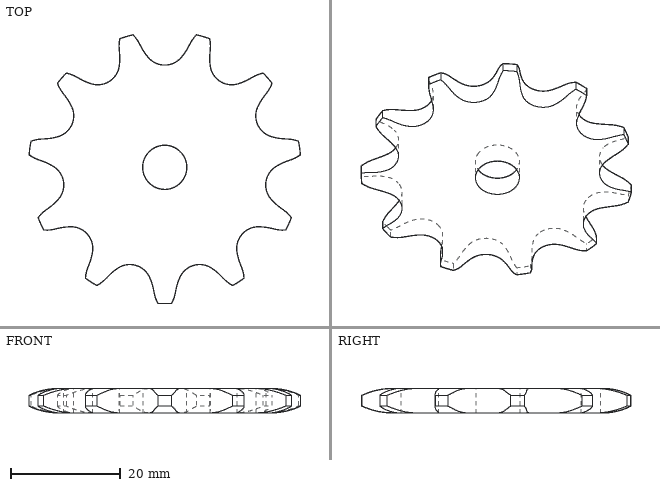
import cadquery as cq
import math

TOOTH_COUNT = 11
CHAIN_PITCH = 12.7
ROLLER_DIAMETER = 7.75
TIP_DIAMETER = 49.6
THICKNESS = 4.5
BORE_DIAMETER = 8.0
SIDE_RELIEF_RADIUS = 13.0
SIDE_RELIEF_DEPTH = 0.1 * CHAIN_PITCH
SEATING_CLEARANCE = 0.0762
CUT_MARGIN = 2.0

HALF_TOOTH_ANGLE = 180 / TOOTH_COUNT
PITCH_RADIUS = CHAIN_PITCH / (2 * math.sin(math.radians(HALF_TOOTH_ANGLE)))
TIP_RADIUS = TIP_DIAMETER / 2
SEATING_RADIUS = (1.005 * ROLLER_DIAMETER + SEATING_CLEARANCE) / 2
SEATING_ANGLE = 35 + 60 / TOOTH_COUNT
WORKING_ANGLE = 18 - 56 / TOOTH_COUNT
FLANK_ANGLE = SEATING_ANGLE - WORKING_ANGLE
WORKING_CENTER_OFFSET = 0.8 * ROLLER_DIAMETER
WORKING_RADIUS = SEATING_RADIUS + WORKING_CENTER_OFFSET
TOPPING_CENTER_OFFSET = 1.4 * ROLLER_DIAMETER
TOPPING_RADIUS = (
    WORKING_CENTER_OFFSET * math.cos(math.radians(WORKING_ANGLE))
    + TOPPING_CENTER_OFFSET * math.cos(math.radians(FLANK_ANGLE - HALF_TOOTH_ANGLE))
    - WORKING_RADIUS
)


def polar(center, radius, angle):
    """Point at the given radius and angle (degrees) from a centre."""
    turn = math.radians(angle)
    return (center[0] + radius * math.cos(turn), center[1] + radius * math.sin(turn))


def mirrored(point):
    """Reflect a point across the centre line of the gap (the Y axis)."""
    return (-point[0], point[1])


def make_gap_cutter():
    """Prism filling one tooth gap centred on +Y."""
    cut_radius = TIP_RADIUS + CUT_MARGIN
    seat_center = (0, PITCH_RADIUS)
    working_center = polar(seat_center, WORKING_CENTER_OFFSET, SEATING_ANGLE)
    topping_center = polar(seat_center, TOPPING_CENTER_OFFSET, 180 + HALF_TOOTH_ANGLE)

    seat_bottom = (0, PITCH_RADIUS - SEATING_RADIUS)
    seat_end = polar(seat_center, SEATING_RADIUS, 180 + SEATING_ANGLE)
    working_mid = polar(working_center, WORKING_RADIUS, 180 + SEATING_ANGLE - WORKING_ANGLE / 2)
    working_end = polar(working_center, WORKING_RADIUS, 180 + FLANK_ANGLE)
    topping_start = polar(topping_center, TOPPING_RADIUS, FLANK_ANGLE)

    center_distance = math.hypot(*topping_center)
    center_angle = math.degrees(math.atan2(topping_center[1], topping_center[0]))
    crossing_cosine = (center_distance**2 + TIP_RADIUS**2 - TOPPING_RADIUS**2) / (
        2 * center_distance * TIP_RADIUS
    )
    tip_angle = center_angle - math.degrees(math.acos(crossing_cosine))
    tip = polar((0, 0), TIP_RADIUS, tip_angle)
    tip_offset_x = tip[0] - topping_center[0]
    tip_offset_y = tip[1] - topping_center[1]
    topping_end_angle = math.degrees(math.atan2(tip_offset_y, tip_offset_x))
    topping_mid = polar(topping_center, TOPPING_RADIUS, (FLANK_ANGLE + topping_end_angle) / 2)
    outside = polar((0, 0), cut_radius, tip_angle)

    return (
        cq.Workplane("XY")
        .moveTo(*outside)
        .lineTo(*tip)
        .threePointArc(topping_mid, topping_start)
        .lineTo(*working_end)
        .threePointArc(working_mid, seat_end)
        .threePointArc(seat_bottom, mirrored(seat_end))
        .threePointArc(mirrored(working_mid), mirrored(working_end))
        .lineTo(*mirrored(topping_start))
        .threePointArc(mirrored(topping_mid), mirrored(tip))
        .lineTo(*mirrored(outside))
        .threePointArc((0, cut_radius), outside)
        .close()
        .extrude(THICKNESS / 2, both=True)
    )


def make_blank():
    """Bored disc whose rim narrows to the tip along arcs tangent to both faces."""
    half_thickness = THICKNESS / 2
    tip_half_thickness = half_thickness - SIDE_RELIEF_DEPTH
    relief_sweep = math.degrees(math.acos(1 - SIDE_RELIEF_DEPTH / SIDE_RELIEF_RADIUS))
    face_radius = TIP_RADIUS - SIDE_RELIEF_RADIUS * math.sin(math.radians(relief_sweep))
    upper_center = (face_radius, half_thickness - SIDE_RELIEF_RADIUS)
    lower_center = (face_radius, SIDE_RELIEF_RADIUS - half_thickness)
    bore_radius = BORE_DIAMETER / 2

    return (
        cq.Workplane("XZ")
        .moveTo(bore_radius, -half_thickness)
        .lineTo(face_radius, -half_thickness)
        .threePointArc(
            polar(lower_center, SIDE_RELIEF_RADIUS, relief_sweep / 2 - 90),
            (TIP_RADIUS, -tip_half_thickness),
        )
        .lineTo(TIP_RADIUS, tip_half_thickness)
        .threePointArc(
            polar(upper_center, SIDE_RELIEF_RADIUS, 90 - relief_sweep / 2),
            (face_radius, half_thickness),
        )
        .lineTo(bore_radius, half_thickness)
        .close()
        .revolve(360, (0, 0, 0), (0, 1, 0))
    )


def make_sprocket():
    """Cut every tooth gap from the blank."""
    sprocket = make_blank()
    cutter = make_gap_cutter()
    for index in range(TOOTH_COUNT):
        turn = index * 360 / TOOTH_COUNT
        sprocket = sprocket.cut(cutter.rotate((0, 0, 0), (0, 0, 1), turn))
    return sprocket


result = make_sprocket()